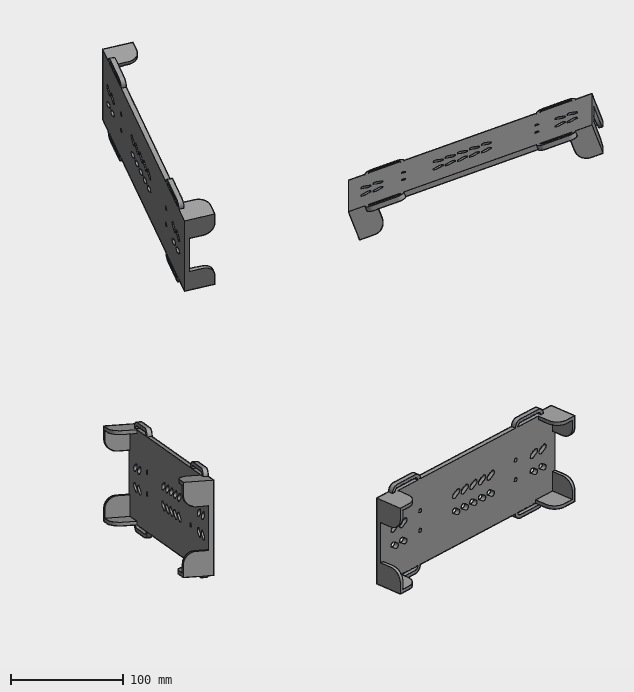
import cadquery as cq

plate_length = 232.0
plate_height = 87.2
plate_thickness = 4.9

bracket_depth = 28.5
bracket_wall = 3.5
bracket_corner_radius = 11.5
end_wall_reach = 23.2
left_top_reach = 22.5
left_bottom_reach = 26.0
right_reach = 23.2

loop_center_x = 81.6
loop_length = 37.0
loop_projection = 6.7
loop_bar = 3.5
loop_opening_length = loop_length - 2 * loop_bar
loop_opening_projection = loop_projection - loop_bar

slot_width = 5.0
slot_length = 10.5
slot_tilt = 32.0
slot_pitch = 11.48
middle_slot_count = 5
middle_slots_x = -7.5
middle_slots_z = 9.0
end_slot_count = 2
left_end_slots_x = -93.5
right_end_slots_x = 91.4
end_slots_top_z = 8.0
end_slots_bottom_z = -10.2
hole_diameter = 3.7
hole_x = 63.43
hole_top_z = 11.1
hole_bottom_z = -8.8

half_length = plate_length / 2
half_height = plate_height / 2


def front_plane():
    """Sketch plane on the front face: local x is X, local y is Z, extrude by a negative length for +Y."""
    return cq.Workplane("XZ")


def top_wall(side_x, side_z, reach):
    """Wall along a long edge, its free rear corner rounded."""
    outline = (
        cq.Workplane("XY")
        .workplane(offset=side_z * half_height)
        .moveTo(side_x * half_length, 0)
        .lineTo(side_x * half_length, bracket_depth)
        .lineTo(side_x * (half_length - reach + bracket_corner_radius), bracket_depth)
        .radiusArc(
            (side_x * (half_length - reach), bracket_depth - bracket_corner_radius),
            side_x * -bracket_corner_radius,
        )
        .lineTo(side_x * (half_length - reach), 0)
        .close()
    )
    return outline.extrude(-side_z * bracket_wall)


def end_wall(side_x, side_z):
    """Wall along a short edge, its free rear corner rounded."""
    outline = (
        cq.Workplane("YZ")
        .workplane(offset=side_x * half_length)
        .moveTo(0, side_z * half_height)
        .lineTo(bracket_depth, side_z * half_height)
        .lineTo(bracket_depth, side_z * (half_height - end_wall_reach + bracket_corner_radius))
        .radiusArc(
            (bracket_depth - bracket_corner_radius, side_z * (half_height - end_wall_reach)),
            side_z * bracket_corner_radius,
        )
        .lineTo(0, side_z * (half_height - end_wall_reach))
        .close()
    )
    return outline.extrude(-side_x * bracket_wall)


def loop_shape(center_x, side_z, length, projection):
    """Solid standing on a long edge with its two outer corners fully rounded."""
    half = length / 2
    base_z = side_z * half_height
    tip_z = side_z * (half_height + projection)
    outline = (
        front_plane()
        .moveTo(center_x - half, base_z)
        .radiusArc((center_x - half + projection, tip_z), side_z * projection)
        .lineTo(center_x + half - projection, tip_z)
        .radiusArc((center_x + half, base_z), side_z * projection)
        .close()
    )
    return outline.extrude(-plate_thickness)


def strap_loop(center_x, side_z):
    """Rounded bar joined to the plate edge at both ends."""
    outer = loop_shape(center_x, side_z, loop_length, loop_projection)
    opening = loop_shape(center_x, side_z, loop_opening_length, loop_opening_projection)
    return outer.cut(opening)


def slot_row(center_x, center_z, count, tilt):
    """Cutter for a row of slanted slots through the plate."""
    start_x = center_x - slot_pitch * (count - 1) / 2
    centers = [(start_x + slot_pitch * i, center_z) for i in range(count)]
    return front_plane().pushPoints(centers).slot2D(slot_length, slot_width, tilt).extrude(-plate_thickness)


result = front_plane().rect(plate_length, plate_height).extrude(-plate_thickness)

for side_x, side_z, reach in (
    (-1, 1, left_top_reach),
    (-1, -1, left_bottom_reach),
    (1, 1, right_reach),
    (1, -1, right_reach),
):
    result = result.union(top_wall(side_x, side_z, reach))
    result = result.union(end_wall(side_x, side_z))

for center_x in (-loop_center_x, loop_center_x):
    for side_z in (-1, 1):
        result = result.union(strap_loop(center_x, side_z))

result = result.cut(slot_row(middle_slots_x, middle_slots_z, middle_slot_count, -slot_tilt))
result = result.cut(slot_row(middle_slots_x, -middle_slots_z, middle_slot_count, slot_tilt))
for center_x in (left_end_slots_x, right_end_slots_x):
    result = result.cut(slot_row(center_x, end_slots_top_z, end_slot_count, -slot_tilt))
    result = result.cut(slot_row(center_x, end_slots_bottom_z, end_slot_count, slot_tilt))

hole_centers = [(x, z) for x in (-hole_x, hole_x) for z in (hole_bottom_z, hole_top_z)]
holes = front_plane().pushPoints(hole_centers).circle(hole_diameter / 2).extrude(-plate_thickness)
result = result.cut(holes)